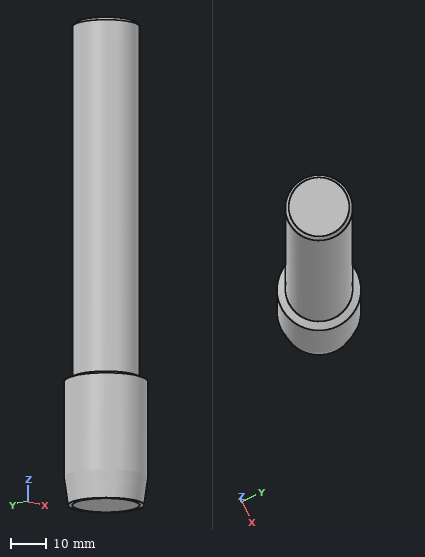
import cadquery as cq

total_height = 140.0
pin_diameter = 19.2
pin_chamfer = 1.0

sleeve_diameter = 24.0
sleeve_height = 37.0
sleeve_shoulder_rise = 1.0
taper_height = 8.0
taper_bottom_diameter = 21.7

pin_radius = pin_diameter / 2
sleeve_radius = sleeve_diameter / 2


def make_pin():
    """Straight round pin with its upper rim chamfered."""
    pin = cq.Workplane("XY").circle(pin_radius).extrude(total_height)
    return pin.faces(">Z").chamfer(pin_chamfer)


def make_sleeve():
    """Round sleeve with a tapered lower end and a shallow conical shoulder, bored through to fit the pin."""
    outline = [
        (pin_radius, 0),
        (taper_bottom_diameter / 2, 0),
        (sleeve_radius, taper_height),
        (sleeve_radius, sleeve_height - sleeve_shoulder_rise),
        (pin_radius, sleeve_height),
    ]
    profile = cq.Workplane("XZ").polyline(outline).close()
    return profile.revolve(360, (0, 0, 0), (0, 1, 0))


pin = make_pin()
sleeve = make_sleeve()

result = cq.Compound.makeCompound([pin.val(), sleeve.val()])